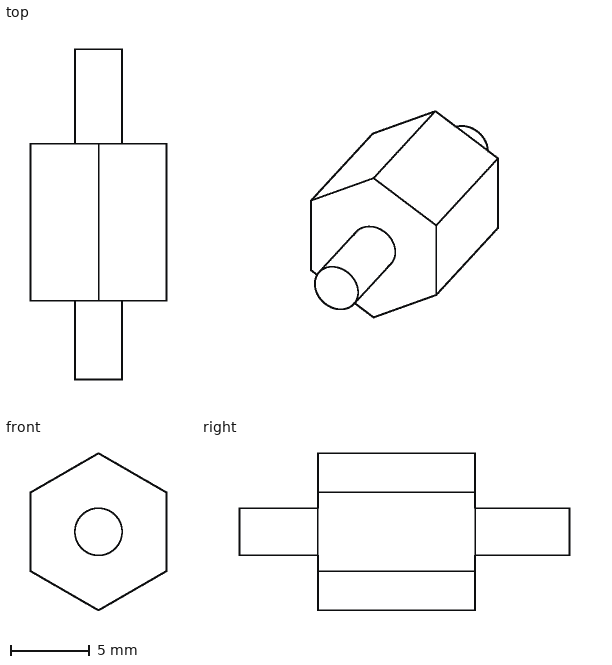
import cadquery as cq

total_length = 21.0
body_length = 10.0
front_pin_length = 5.0
pin_diameter = 3.0
hex_corner_diameter = 10.0

front_end = -total_length / 2
body_front = front_end + front_pin_length


def make_pin():
    """Round pin running the full length of the part along +Y."""
    return (
        cq.Workplane("XZ", origin=(0, front_end, 0))
        .circle(pin_diameter / 2)
        .extrude(-total_length)
    )


def make_hex_body():
    """Hexagonal body with corners pointing up and down and flats facing X."""
    return (
        cq.Workplane("XZ", origin=(0, body_front, 0))
        .transformed(rotate=(0, 0, 90))
        .polygon(6, hex_corner_diameter)
        .extrude(-body_length)
    )


result = make_hex_body().union(make_pin())